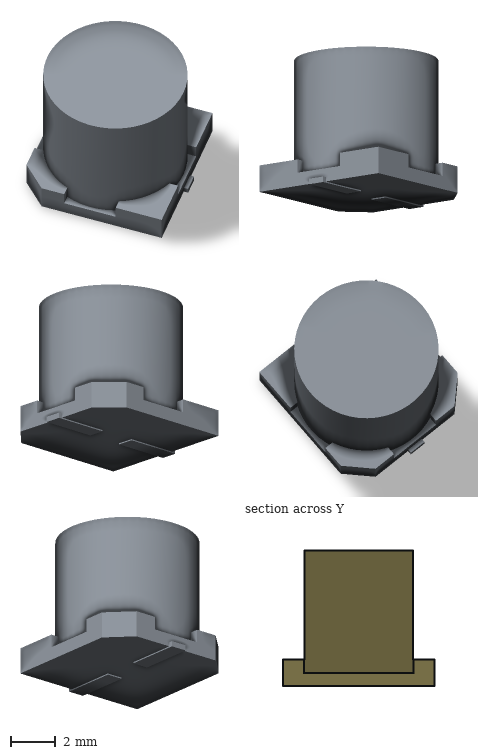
import cadquery as cq

OVERALL_LENGTH = 7.19
LEAD_LENGTH = 2.7
LEAD_WIDTH = 0.8
LEAD_HEIGHT = 0.25

BASE_SIDE = 6.81
BASE_BOTTOM = 0.06
BASE_TOP = 1.265
SEAT_LEVEL = 0.66
CORNER_CHAMFER = 1.11
NOTCH_WIDTH = 2.445

CAN_DIAMETER = 6.465
CAN_TOP = 6.15


def block(length, width, bottom, top):
    """Rectangular block centred on the Z axis between two levels."""
    return (
        cq.Workplane("XY")
        .workplane(offset=bottom)
        .rect(length, width)
        .extrude(top - bottom)
    )


def make_can():
    """Cylindrical can resting on the seat of the base."""
    return (
        cq.Workplane("XY")
        .workplane(offset=SEAT_LEVEL)
        .circle(CAN_DIAMETER / 2)
        .extrude(CAN_TOP - SEAT_LEVEL)
    )


def make_lead(side):
    """Flat lead strip; side is -1 for the -X end and 1 for the +X end."""
    center_x = side * (OVERALL_LENGTH - LEAD_LENGTH) / 2
    return block(LEAD_LENGTH, LEAD_WIDTH, 0, LEAD_HEIGHT).translate((center_x, 0, 0))


def make_base(can, leads):
    """Base plate with matching recesses for the can and the leads."""
    base = block(BASE_SIDE, BASE_SIDE, BASE_BOTTOM, BASE_TOP)

    base = base.edges("|Z and <X").chamfer(CORNER_CHAMFER)

    base = base.cut(block(BASE_SIDE, NOTCH_WIDTH, SEAT_LEVEL, BASE_TOP))
    base = base.cut(block(NOTCH_WIDTH, BASE_SIDE, SEAT_LEVEL, BASE_TOP))

    base = base.cut(can)
    for lead in leads:
        base = base.cut(lead)
    return base.solids()


can = make_can()
leads = [make_lead(side) for side in (-1, 1)]
base = make_base(can, leads)

result = cq.Compound.makeCompound([base.val(), can.val(), *[lead.val() for lead in leads]])